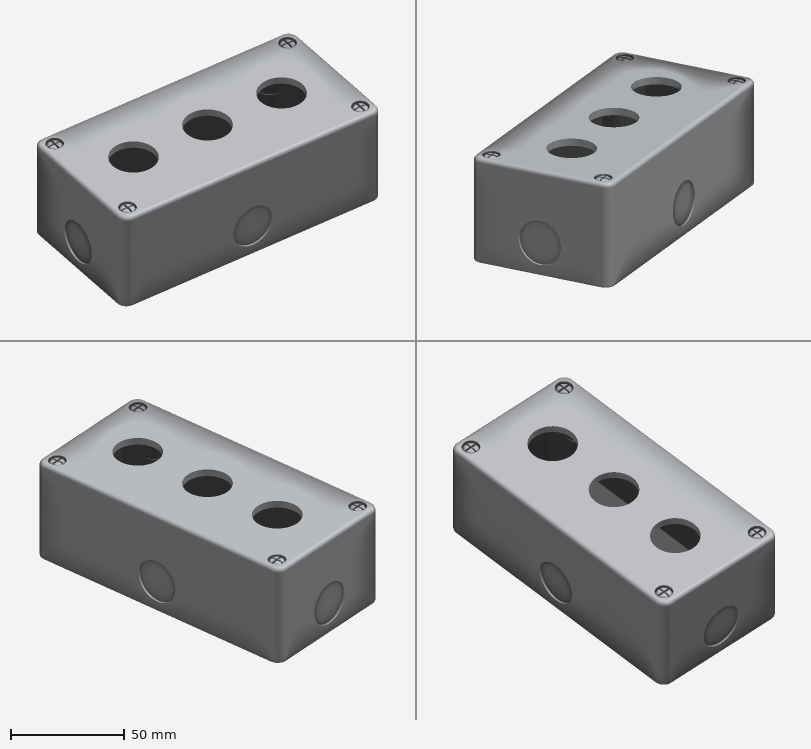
import cadquery as cq

LENGTH = 140.0
WIDTH = 70.0
HEIGHT = 49.8
LID_HEIGHT = 18.2
BOX_HEIGHT = HEIGHT - LID_HEIGHT
CORNER_RADIUS = 4.9
LID_TOP_FILLET = 2.0
BOX_BOTTOM_FILLET = 0.7

WALL = 5.0
CEILING = 3.5
FLOOR = WALL
CAVITY_WIDTH = WIDTH - 2 * WALL
CAVITY_LENGTH = LENGTH - 2 * WALL

BOSS_INNER_X = 19.9
BOSS_INNER_Y = 45.6
BOSS_ROOT_FILLET = 2.5
LID_BOSS_RADIUS = 7.7
BOX_BOSS_RADIUS = 6.2

BUTTON_DIAMETER = 22.4
BUTTON_PITCH = 40.0
BUTTON_COUNT = 3

KNOCKOUT_DIAMETER = 21.0
KNOCKOUT_DEPTH = 1.0
KNOCKOUT_Z = 15.5

SCREW_X = 28.0
SCREW_Y = 63.0
SCREW_POSITIONS = [(sx * SCREW_X, sy * SCREW_Y) for sx in (-1, 1) for sy in (-1, 1)]
SEAT_DIAMETER = 8.3
SEAT_DEPTH = 2.1
HEAD_RADIUS = 3.8
HEAD_FLAT_RADIUS = 2.0
HEAD_RECESS = 0.1
HEAD_HEIGHT = SEAT_DEPTH - HEAD_RECESS
LONG_SLOT_WIDTH = 0.8
SHORT_SLOT_WIDTH = 1.1
SHORT_SLOT_LENGTH = 6.2
SLOT_DEPTH = 1.4


def rounded_block(height, base_z):
    """Block with the enclosure footprint and rounded vertical edges."""
    block = cq.Workplane("XY").workplane(offset=base_z).rect(WIDTH, LENGTH).extrude(height)
    return block.edges("|Z").fillet(CORNER_RADIUS)


def cavity(base_z, height, boss_radius):
    """Cross-shaped hollow that leaves a solid boss in each corner."""
    base = cq.Workplane("XY").workplane(offset=base_z)
    across = base.rect(CAVITY_WIDTH, 2 * BOSS_INNER_Y).extrude(height)
    along = base.rect(2 * BOSS_INNER_X, CAVITY_LENGTH).extrude(height)
    reach_x = (BOSS_INNER_X + CAVITY_WIDTH / 2) / 2
    reach_y = (BOSS_INNER_Y + CAVITY_LENGTH / 2) / 2
    boss_edges = cq.selectors.BoxSelector((-reach_x, -reach_y, base_z), (reach_x, reach_y, base_z + height))
    hollow = across.union(along).edges("|Z").edges(boss_edges).fillet(boss_radius)
    return hollow.edges("|Z and (<Y or >Y)").fillet(BOSS_ROOT_FILLET)


def knockout_pair(plane, half_size):
    """Shallow discs sunk into the two opposite walls that the plane's normal points through."""
    center = cq.Workplane(plane).center(0, KNOCKOUT_Z)
    bar = center.circle(KNOCKOUT_DIAMETER / 2).extrude(half_size, both=True)
    core = center.circle(KNOCKOUT_DIAMETER / 2).extrude(half_size - KNOCKOUT_DEPTH, both=True)
    return bar.cut(core)


def make_box():
    box = rounded_block(BOX_HEIGHT, 0).faces("<Z").edges().fillet(BOX_BOTTOM_FILLET)
    box = box.cut(cavity(FLOOR, BOX_HEIGHT - FLOOR, BOX_BOSS_RADIUS))
    box = box.cut(knockout_pair("XZ", LENGTH / 2))
    return box.cut(knockout_pair("YZ", WIDTH / 2))


def make_lid():
    lid = rounded_block(LID_HEIGHT, BOX_HEIGHT).faces(">Z").edges().fillet(LID_TOP_FILLET)
    lid = lid.cut(cavity(BOX_HEIGHT, LID_HEIGHT - CEILING, LID_BOSS_RADIUS))

    buttons = cq.Workplane("XY").workplane(offset=BOX_HEIGHT)
    buttons = buttons.rarray(1.4, BUTTON_PITCH, 1, BUTTON_COUNT).circle(BUTTON_DIAMETER / 2)
    buttons = buttons.extrude(LID_HEIGHT)
    lid = lid.cut(buttons)

    seats = cq.Workplane("XY").workplane(offset=HEIGHT - SEAT_DEPTH)
    seats = seats.pushPoints(SCREW_POSITIONS).circle(SEAT_DIAMETER / 2).extrude(SEAT_DEPTH)
    return lid.cut(seats)


def make_screw(x, y):
    """Domed screw head with a flat crown and a cross slot, resting on its seat."""
    head = cq.Workplane("XY").circle(HEAD_RADIUS).extrude(HEAD_HEIGHT)
    head = head.faces(">Z").edges().fillet(HEAD_RADIUS - HEAD_FLAT_RADIUS)
    slots = cq.Workplane("XY").workplane(offset=HEAD_HEIGHT - SLOT_DEPTH)
    long_slot = slots.rect(LONG_SLOT_WIDTH, 2 * HEAD_RADIUS).extrude(SLOT_DEPTH)
    short_slot = slots.rect(SHORT_SLOT_LENGTH, SHORT_SLOT_WIDTH).extrude(SLOT_DEPTH)
    head = head.cut(long_slot).cut(short_slot)
    return head.translate((x, y, HEIGHT - SEAT_DEPTH))


box = make_box()
lid = make_lid()
screws = [make_screw(x, y) for x, y in SCREW_POSITIONS]

result = cq.Compound.makeCompound([box.val(), lid.val(), *[screw.val() for screw in screws]])